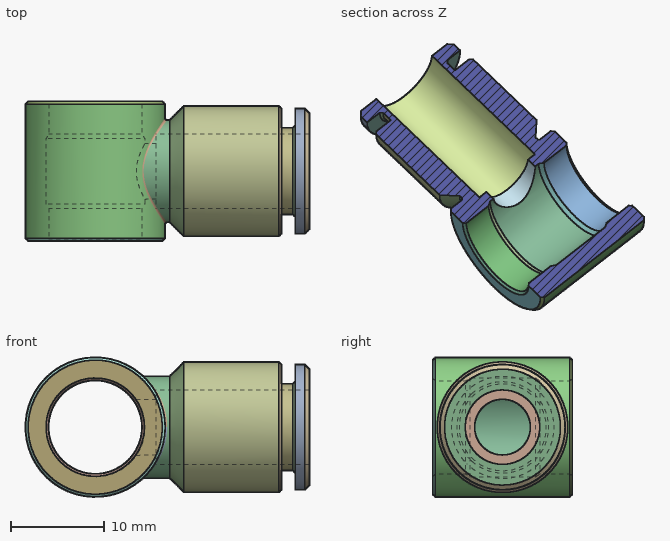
import cadquery as cq

ring_diameter = 15.0
ring_length = 15.0
ring_chamfer = 0.3
bore_diameter = 10.0
bore_chamfer = 0.27

groove_depth = 0.3
groove_length = 8.0
groove_taper = 0.5

overall_length = 30.5
socket_end = overall_length - ring_diameter / 2
neck_radius = 5.5
neck_end = 8.0
root_fillet = 0.2
body_radius = 7.0
body_start = neck_end + body_radius - neck_radius
body_end = 20.0
body_chamfer = 0.3
collar_radius = 4.67
collar_flare = 0.25
flange_radius = 6.75
flange_start = 21.45
flange_chamfer = 0.52

passage_radius = 3.0
passage_end = 6.5
tube_radius = 4.0


def y_cylinder(radius, length):
    """Cylinder along Y, centred on the origin."""
    return cq.Workplane("XZ").circle(radius).extrude(length / 2, both=True)


def make_ring():
    return y_cylinder(ring_diameter / 2, ring_length).faces("<Y or >Y").chamfer(ring_chamfer)


def make_neck():
    return cq.Workplane("YZ").circle(neck_radius).extrude(neck_end)


def make_socket():
    """Body, release collar and flange, revolved about X."""
    profile = [
        (neck_end, 0),
        (neck_end, neck_radius),
        (body_start, body_radius),
        (body_end - body_chamfer, body_radius),
        (body_end, body_radius - body_chamfer),
        (body_end, collar_radius),
        (flange_start - collar_flare, collar_radius),
        (flange_start, collar_radius + collar_flare),
        (flange_start, flange_radius),
        (socket_end - flange_chamfer, flange_radius),
        (socket_end, flange_radius - flange_chamfer),
        (socket_end, 0),
    ]
    return cq.Workplane("XY").polyline(profile).close().revolve(360, (0, 0, 0), (1, 0, 0))


def make_bore():
    """Chamfered through bore with its tapered-sided groove, revolved about Y."""
    bore_radius = bore_diameter / 2
    mouth_radius = bore_radius + bore_chamfer
    groove_radius = bore_radius + groove_depth
    half_ring = ring_length / 2
    half_groove = groove_length / 2
    half_groove_floor = half_groove - groove_taper
    profile = [
        (0, -half_ring),
        (mouth_radius, -half_ring),
        (bore_radius, -half_ring + bore_chamfer),
        (bore_radius, -half_groove),
        (groove_radius, -half_groove_floor),
        (groove_radius, half_groove_floor),
        (bore_radius, half_groove),
        (bore_radius, half_ring - bore_chamfer),
        (mouth_radius, half_ring),
        (0, half_ring),
    ]
    return cq.Workplane("XY").polyline(profile).close().revolve(360, (0, 0, 0), (0, 1, 0))


def make_passage():
    return cq.Workplane("YZ").circle(passage_radius).extrude(passage_end)


def make_tube_bore():
    tube_bore_length = socket_end - passage_end
    return cq.Workplane("YZ", origin=(passage_end, 0, 0)).circle(tube_radius).extrude(tube_bore_length)


ring_and_neck = make_ring().union(make_neck())
seam_box = cq.selectors.BoxSelector(
    (0, -neck_radius - 0.3, -neck_radius - 0.3),
    (neck_end - 0.3, neck_radius + 0.3, neck_radius + 0.3),
    boundingbox=True,
)
ring_and_neck = ring_and_neck.edges(seam_box).fillet(root_fillet)

outer_body = ring_and_neck.union(make_socket())
result = outer_body.cut(make_bore()).cut(make_passage()).cut(make_tube_bore())